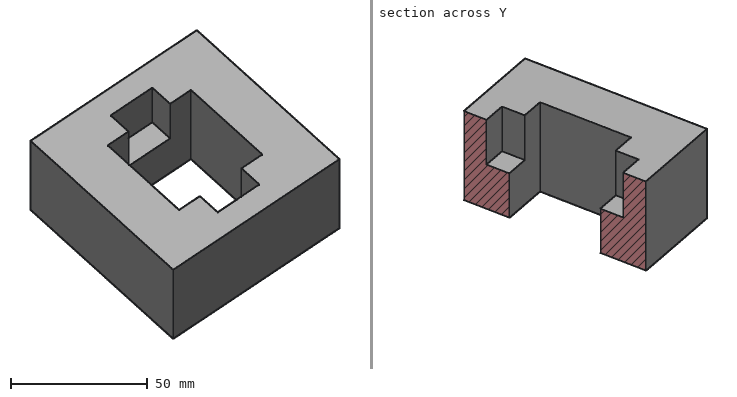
import cadquery as cq

block_side = 80.0
block_height = block_side / 2

opening_side = block_side / 2

notch_reach = opening_side / 4
notch_width = opening_side / 2
notch_depth = block_height / 2
notch_span = opening_side + 2 * notch_reach

block = cq.Workplane("XY").rect(block_side, block_side).extrude(block_height)
opening = cq.Workplane("XY").rect(opening_side, opening_side).extrude(block_height)

notches = (
    cq.Workplane("XY")
    .workplane(offset=block_height - notch_depth)
    .rect(notch_span, notch_width)
    .extrude(notch_depth)
)

result = block.cut(opening).cut(notches)